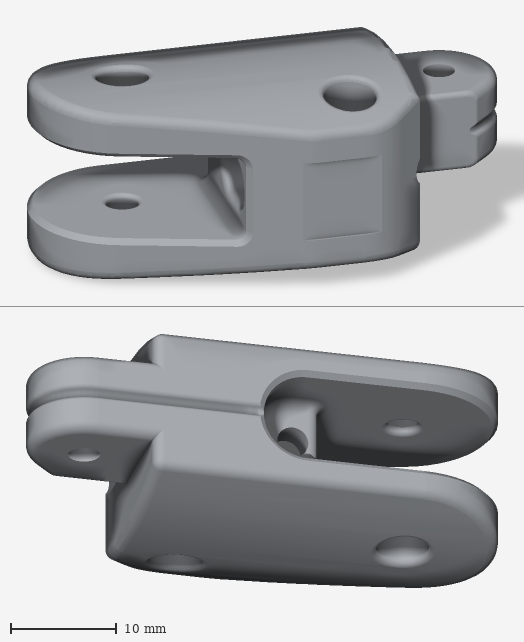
import cadquery as cq
import math


fillet_radius = 0.98
small_edge = 0.5

pivot_radius = 9.0
shoulder_radius = 5.5
shoulder_x = 8.5
shoulder_low_y = 15.7
shoulder_high_y = 20.0
body_end_y = 26.5
left_x = -pivot_radius
right_x = shoulder_x + shoulder_radius
corner_angle = math.radians(45)

total_height = 18.0
crown_radius = 33.0
crown_x = (left_x + right_x) / 2

tail_radius = shoulder_radius
tail_x = left_x + tail_radius
tail_y = 32.0
tail_right_x = 2.0
tail_root_y = body_end_y - 3 * fillet_radius
tail_height = 8.0

slot_height = 8.45
pocket_y = 11.5
pocket_wall_x = -3.0
web_face_y = 8.95

screw_hole_diameter = 3.0
counterbore_diameter = 5.0
top_seat_z = 5.0
bottom_seat_z = -5.65
screw_positions = [(0, 0), (shoulder_x, shoulder_high_y)]
blind_hole_depth = 3.0
window_x = 6.7
window_length = 7.0
window_height = 4.0
groove_radius = 0.5
recess_depth = 0.3
recess_height = tail_height

overshoot = 0.45
reach = 2 * total_height


def polar(x, y, radius, angle):
    return (x + radius * math.cos(angle), y + radius * math.sin(angle))


def nearest(x, y, z):
    """Selector for the edge whose centre is closest to a point."""
    return cq.selectors.NearestToPointSelector((x, y, z))


def box(x_range, y_range, z_range):
    size = [high - low for low, high in (x_range, y_range, z_range)]
    corner = (x_range[0], y_range[0], z_range[0])
    return cq.Workplane("XY").box(*size, centered=False).translate(corner)


def body_outline():
    """Round fork end, slanted flank, rounded shoulder and 45 degree corner."""
    center_distance = math.hypot(shoulder_x, shoulder_low_y)
    tangent_turn = math.acos((pivot_radius - shoulder_radius) / center_distance)
    slant = math.atan2(shoulder_low_y, shoulder_x) - tangent_turn
    slant_start = polar(0, 0, pivot_radius, slant)
    slant_end = polar(shoulder_x, shoulder_low_y, shoulder_radius, slant)
    low_middle = polar(shoulder_x, shoulder_low_y, shoulder_radius, slant / 2)
    high_middle = polar(shoulder_x, shoulder_high_y, shoulder_radius, corner_angle / 2)
    corner_start = polar(shoulder_x, shoulder_high_y, shoulder_radius, corner_angle)
    corner_x = sum(corner_start) - body_end_y
    return (
        cq.Workplane("XY")
        .moveTo(left_x, body_end_y)
        .lineTo(left_x, 0)
        .threePointArc(polar(0, 0, pivot_radius, (slant - math.pi) / 2), slant_start)
        .lineTo(*slant_end)
        .threePointArc(low_middle, (right_x, shoulder_low_y))
        .lineTo(right_x, shoulder_high_y)
        .threePointArc(high_middle, corner_start)
        .lineTo(corner_x, body_end_y)
        .close()
    )


def crown_height(x):
    return total_height / 2 - crown_radius + math.sqrt(crown_radius**2 - (x - crown_x) ** 2)


def crown():
    """Bar along Y whose top and bottom are arcs."""
    half_width = right_x - crown_x + overshoot
    top = total_height / 2
    edge = crown_height(crown_x + half_width)
    low_x = crown_x - half_width
    high_x = crown_x + half_width
    return (
        cq.Workplane("XZ")
        .moveTo(low_x, -edge)
        .lineTo(low_x, edge)
        .threePointArc((crown_x, top), (high_x, edge))
        .lineTo(high_x, -edge)
        .threePointArc((crown_x, -top), (low_x, -edge))
        .close()
        .extrude(2 * reach, both=True)
    )


def make_body():
    """Crowned block with its top and bottom rims and left end corner rounded."""
    body = body_outline().extrude(total_height, both=True).intersect(crown())
    crown_rims = body.faces("<Z or >Z").edges()
    left_end_edge = body.edges(nearest(left_x, body_end_y, 0))
    return crown_rims.add(left_end_edge).fillet(fillet_radius)


def make_tail():
    """Tail plate whose root is buried in the body."""
    corner_start = polar(tail_x, tail_y, tail_radius, corner_angle)
    corner_y = sum(corner_start) - tail_right_x
    tail = (
        cq.Workplane("XY", origin=(0, 0, -tail_height / 2))
        .moveTo(left_x, tail_root_y)
        .lineTo(left_x, tail_y)
        .threePointArc(polar(tail_x, tail_y, tail_radius, (math.pi + corner_angle) / 2), corner_start)
        .lineTo(tail_right_x, corner_y)
        .lineTo(tail_right_x, tail_root_y)
        .close()
        .extrude(tail_height)
    )
    tail = tail.faces("<X").edges("|Y").fillet(fillet_radius)
    return tail.faces(">X").edges("|Y").fillet(small_edge)


def fork_cutter():
    """Fork slot joined to the round-ended side pocket, with rounded inner corners."""
    half = slot_height / 2
    fork = box((left_x - reach, reach), (-reach, web_face_y), (-half, half))
    pocket = (
        cq.Workplane("YZ", origin=(left_x - reach, 0, 0))
        .moveTo(-reach, -half)
        .lineTo(pocket_y, -half)
        .threePointArc((pocket_y + half, 0), (pocket_y, half))
        .lineTo(-reach, half)
        .close()
        .extrude(pocket_wall_x - left_x + reach)
    )
    cutter = fork.union(pocket)
    cutter = cutter.edges(nearest(pocket_wall_x, web_face_y, 0)).fillet(fillet_radius)
    return cutter.edges(nearest(shoulder_x, web_face_y, half)).fillet(fillet_radius)


def cut_window(part):
    """Oblong window through the web, rounded at the fork side."""
    window = (
        cq.Workplane("XZ", origin=(window_x, 0, 0))
        .slot2D(window_length, window_height)
        .extrude(-reach)
    )
    part = part.cut(window)
    return part.edges(nearest(window_x, web_face_y, window_height / 2)).fillet(fillet_radius)


def groove_profile(plane):
    """Round groove whose mouth flares out tangent to the wall; local x points into the wall."""
    r = groove_radius
    half_mouth = math.sqrt(3) * r
    tangent_x = r / 2
    tangent_y = half_mouth / 2
    flare_x, flare_y = polar(r, half_mouth, r, 7 * math.pi / 6)
    return (
        cq.Workplane(plane)
        .moveTo(-r, half_mouth)
        .lineTo(0, half_mouth)
        .threePointArc((flare_x, flare_y), (tangent_x, tangent_y))
        .threePointArc((r, 0), (tangent_x, -tangent_y))
        .threePointArc((flare_x, -flare_y), (0, -half_mouth))
        .lineTo(-r, -half_mouth)
        .close()
    )


def cut_groove(part):
    """Cord groove along the -X wall, around the tail and down its slanted corner."""
    wall = cq.Plane(origin=(left_x, pocket_y, 0), xDir=(1, 0, 0), normal=(0, 1, 0))
    tail_start = cq.Plane(origin=(left_x, tail_y, 0), xDir=(1, 0, 0), normal=(0, 1, 0))
    corner_x, corner_y = polar(tail_x, tail_y, tail_radius, corner_angle)
    corner = cq.Plane(origin=(corner_x, corner_y, 0), xDir=(-1, -1, 0), normal=(1, -1, 0))
    sweep = 180 - math.degrees(corner_angle)
    part = part.cut(groove_profile(wall).extrude(tail_y - pocket_y))
    part = part.cut(groove_profile(tail_start).revolve(sweep, (tail_radius, 0), (tail_radius, 1)))
    return part.cut(groove_profile(corner).extrude(tail_radius))


def cut_holes(part):
    """Screw holes counterbored at both ends, the tail hole and the blind hole in the side pocket."""
    bores = cq.Workplane("XY").pushPoints(screw_positions + [(tail_x, tail_y)])
    part = part.cut(bores.circle(screw_hole_diameter / 2).extrude(reach, both=True))
    inner_rim_z = slot_height / 2
    for side, seat_z in ((1, top_seat_z), (-1, bottom_seat_z)):
        seats = cq.Workplane("XY", origin=(0, 0, seat_z)).pushPoints(screw_positions)
        part = part.cut(seats.circle(counterbore_diameter / 2).extrude(side * reach))
        for x, y in screw_positions:
            part = part.edges(nearest(x, y, side * crown_height(x))).fillet(small_edge)
        part = part.edges(nearest(0, 0, side * inner_rim_z)).fillet(small_edge)
    blind = cq.Workplane("YZ", origin=(pocket_wall_x, pocket_y, 0)).circle(screw_hole_diameter / 2)
    return part.cut(blind.extrude(blind_hole_depth))


def cut_recess(part):
    """Shallow band along the +X side."""
    half = recess_height / 2
    return part.cut(box((right_x - recess_depth, reach), (0, body_end_y), (-half, half)))


body = make_body().cut(fork_cutter())
fork_mouth = nearest(left_x, pocket_y / 2, slot_height / 2)
body = body.edges(fork_mouth).chamfer(small_edge)
body = cut_window(body)
part = body.union(make_tail())
part = cut_groove(part)
part = cut_holes(part)
result = cut_recess(part)